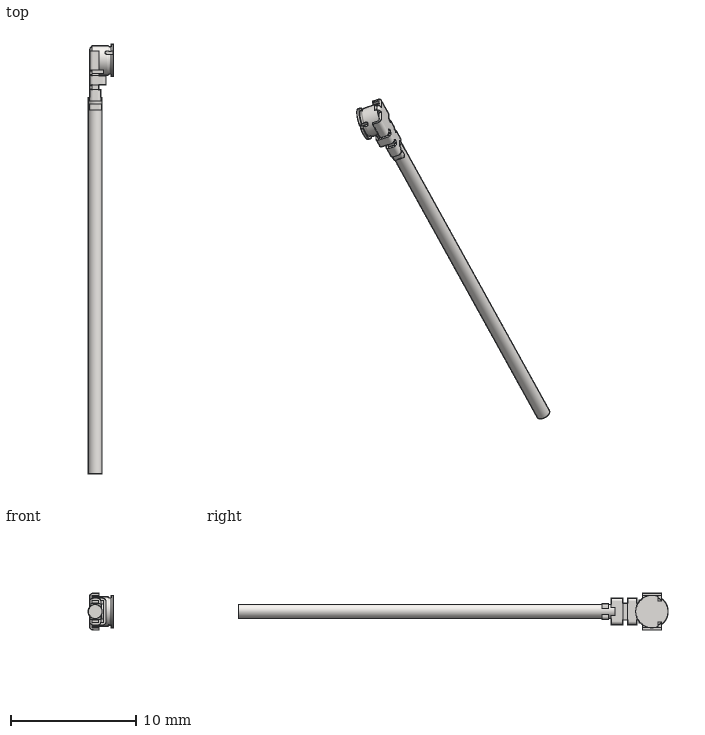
import cadquery as cq

CABLE_DIAMETER = 1.13
CABLE_RADIUS = CABLE_DIAMETER / 2
CABLE_START_Y = -2.95

SHELL_RADIUS = 1.19
NECK_RADIUS = 1.1
FLANGE_RADIUS = 1.3
SHELL_END_X = 1.55
NECK_START_X = 1.73
FLANGE_BACK_X = 1.84
FLANGE_FRONT_X = 2.03
OVERALL_LENGTH = 34.36
CABLE_END_Y = FLANGE_RADIUS - OVERALL_LENGTH

RELIEF_Y = 0.62
RELIEF_WIDTH = 0.26
RELIEF_TIP_X = 1.36
RELIEF_FLOOR_Z = 0.85

SHEET = 0.2
PLATE_X = 0.12
PLATE_INNER_X = PLATE_X + SHEET
BEND_RADIUS = 0.3
OVERALL_HEIGHT = 2.95

WING_HALF_Y = 0.77
WING_TOP_X = 0.88

STRAP_HALF_Z = 0.3
STRAP_TOP_X = 0.55
STRAP_BEND_RADIUS = 0.4

ARM_END_Y = -1.03
ARM_HALF_Z = 0.92
ARM_TOP_X = 1.22

CORE_HALF_Z = 0.68
CORE_TOP_X = 0.86
PLATE_NOTCH_RADIUS = 0.13

CRIMP_HALF_Z = 1.065
CRIMP_ROUND = 0.26
CORE_CRIMP_Y = (-1.21, -1.95)
CORE_CRIMP_TOP_X = 1.44
BRAID_CRIMP_Y = (-2.33, -3.26)
BRAID_CRIMP_TOP_X = 1.03
JACKET_CRIMP_Y = (-3.47, -3.98)
JACKET_CRIMP_TOP_X = 1.08
JACKET_CRIMP_HALF_Z = 0.635
JACKET_CRIMP_ROUND = 0.2


def block(x_range, y_range, half_z):
    """Box between two X and two Y values, symmetric about z = 0."""
    x_size = max(x_range) - min(x_range)
    y_size = max(y_range) - min(y_range)
    return (
        cq.Workplane("XY")
        .box(x_size, y_size, 2 * half_z)
        .translate((sum(x_range) / 2, sum(y_range) / 2, 0))
    )


def make_cable():
    return (
        cq.Workplane("XZ", origin=(CABLE_RADIUS, CABLE_START_Y, 0))
        .circle(CABLE_RADIUS)
        .extrude(CABLE_START_Y - CABLE_END_Y)
    )


def make_shell():
    """Stepped round body with a neck behind the end flange; a smooth S-curve leads into the neck."""
    curve_middle_x = (SHELL_END_X + NECK_START_X) / 2
    curve_middle_radius = (SHELL_RADIUS + NECK_RADIUS) / 2
    shell = (
        cq.Workplane("XY")
        .moveTo(PLATE_INNER_X, 0)
        .lineTo(PLATE_INNER_X, SHELL_RADIUS)
        .lineTo(SHELL_END_X, SHELL_RADIUS)
        .tangentArcPoint((curve_middle_x, curve_middle_radius), relative=False)
        .tangentArcPoint((NECK_START_X, NECK_RADIUS), relative=False)
        .lineTo(FLANGE_BACK_X, NECK_RADIUS)
        .lineTo(FLANGE_BACK_X, FLANGE_RADIUS)
        .lineTo(FLANGE_FRONT_X, FLANGE_RADIUS)
        .lineTo(FLANGE_FRONT_X, 0)
        .close()
        .revolve(360, (0, 0, 0), (1, 0, 0))
    )
    return cut_relief_slots(shell)


def cut_relief_slots(shell):
    tip_radius = RELIEF_WIDTH / 2
    tip_center_x = RELIEF_TIP_X + tip_radius
    slot = (
        cq.Workplane("XY", origin=(0, 0, RELIEF_FLOOR_Z))
        .moveTo(tip_center_x, RELIEF_Y - tip_radius)
        .lineTo(FLANGE_FRONT_X, RELIEF_Y - tip_radius)
        .lineTo(FLANGE_FRONT_X, RELIEF_Y + tip_radius)
        .lineTo(tip_center_x, RELIEF_Y + tip_radius)
        .threePointArc((RELIEF_TIP_X, RELIEF_Y), (tip_center_x, RELIEF_Y - tip_radius))
        .close()
        .extrude(FLANGE_RADIUS - RELIEF_FLOOR_Z)
    )
    return shell.cut(slot).cut(slot.mirror("XY"))


def make_wings():
    """Back plate of the shell with a wall folded up along each Z edge."""
    half_z = OVERALL_HEIGHT / 2
    wing_y = (-WING_HALF_Y, WING_HALF_Y)
    channel = block((PLATE_X, WING_TOP_X), wing_y, half_z).edges("|Y and <X").fillet(BEND_RADIUS)
    return channel.cut(block((PLATE_INNER_X, WING_TOP_X), wing_y, half_z - SHEET))


def make_strap():
    """Hinge strap that bends from the back plate up to the shell."""
    strap = block((PLATE_X, STRAP_TOP_X), (0, SHELL_RADIUS), STRAP_HALF_Z)
    return strap.edges("|Z and <X and >Y").fillet(STRAP_BEND_RADIUS)


def make_core():
    """Arms behind the shell and the narrower body that carries the crimps."""
    arms = block((PLATE_INNER_X, ARM_TOP_X), (0, ARM_END_Y), ARM_HALF_Z)
    body = block((PLATE_X, CORE_TOP_X), (0, BRAID_CRIMP_Y[1]), CORE_HALF_Z)
    core = arms.union(body)
    gap_centers = [
        (-WING_HALF_Y + CORE_CRIMP_Y[0]) / 2,
        (CORE_CRIMP_Y[1] + BRAID_CRIMP_Y[0]) / 2,
    ]
    notches = (
        cq.Workplane("YZ", origin=(PLATE_X, 0, 0))
        .pushPoints([(y, side * CORE_HALF_Z) for y in gap_centers for side in (-1, 1)])
        .circle(PLATE_NOTCH_RADIUS)
        .extrude(SHEET)
    )
    return core.cut(notches)


def make_crimp(y_range, top_x, half_z, back_round, front_round):
    """Solid outer form of a crimp, rounded along its four Y edges."""
    crimp = block((PLATE_X, top_x), y_range, half_z)
    crimp = crimp.edges("|Y and <X").fillet(back_round)
    return crimp.edges("|Y and >X").fillet(front_round)


def make_hood_crimp(y_range, top_x):
    """Crimp wrapped as a closed sheet-metal tube around the core."""
    crimp = make_crimp(y_range, top_x, CRIMP_HALF_Z, BEND_RADIUS, CRIMP_ROUND)
    return crimp.cut(block((PLATE_INNER_X, top_x - SHEET), y_range, CRIMP_HALF_Z - SHEET))


def make_jacket_crimp():
    return make_crimp(
        JACKET_CRIMP_Y, JACKET_CRIMP_TOP_X, JACKET_CRIMP_HALF_Z, JACKET_CRIMP_ROUND, JACKET_CRIMP_ROUND
    )


result = (
    make_shell()
    .union(make_wings())
    .union(make_strap())
    .union(make_core())
    .union(make_hood_crimp(CORE_CRIMP_Y, CORE_CRIMP_TOP_X))
    .union(make_hood_crimp(BRAID_CRIMP_Y, BRAID_CRIMP_TOP_X))
    .union(make_jacket_crimp())
    .union(make_cable())
)